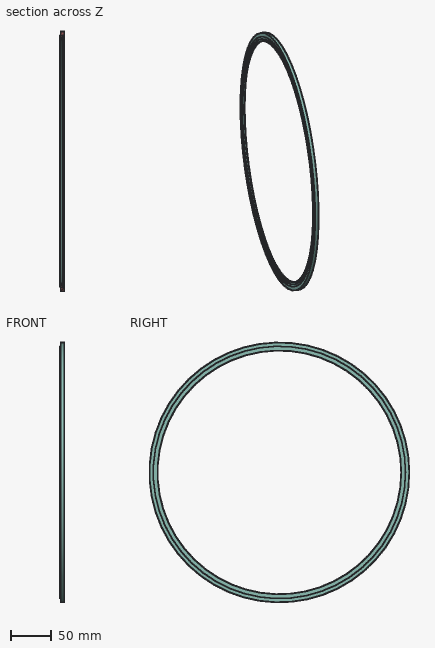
import cadquery as cq

outer_radius = 160.5
inner_radius = 150.2
total_thickness = 5.8
web_thickness = 2.2
bead_height = 1.3
bead_outer_radius = 155.7
bead_width = 3.0

front_x = -total_thickness / 2
back_x = total_thickness / 2
face_x = front_x + bead_height
web_back_x = face_x + web_thickness
rim_inner_radius = bead_outer_radius
bead_inner_radius = bead_outer_radius - bead_width
bead_middle_radius = bead_outer_radius - bead_width / 2

section = (
    cq.Workplane("XY")
    .moveTo(web_back_x, inner_radius)
    .lineTo(web_back_x, rim_inner_radius)
    .lineTo(back_x, rim_inner_radius)
    .lineTo(back_x, outer_radius)
    .lineTo(face_x, outer_radius)
    .lineTo(face_x, bead_outer_radius)
    .threePointArc((front_x, bead_middle_radius), (face_x, bead_inner_radius))
    .lineTo(face_x, inner_radius)
    .close()
)

result = section.revolve(360, (0, 0, 0), (1, 0, 0))